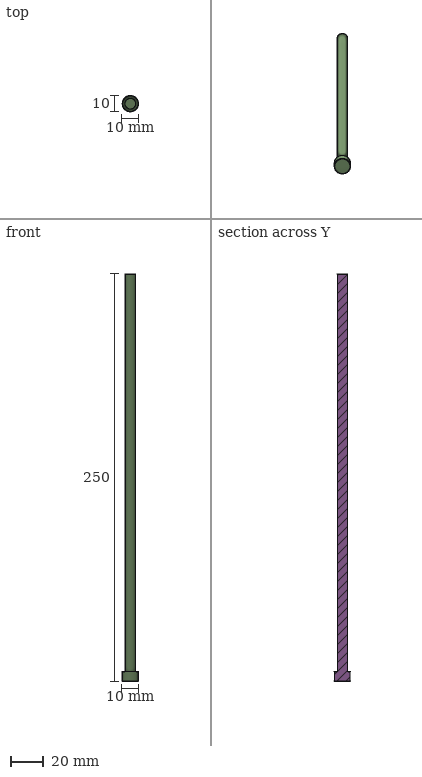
import cadquery as cq

overall_length = 250.0
head_diameter = 10.0
head_height = 6.0
shank_diameter = 6.5
neck_fillet = 0.3
head_rim_chamfer = 0.3

head_radius = head_diameter / 2
shank_radius = shank_diameter / 2


def make_blank():
    """Headed pin turned about the Z axis, with the underside of the head at Z = 0."""
    half_profile = (
        cq.Workplane("XZ")
        .moveTo(0, 0)
        .lineTo(-head_radius, 0)
        .lineTo(-head_radius, head_height)
        .lineTo(-shank_radius, head_height)
        .lineTo(-shank_radius, overall_length)
        .lineTo(0, overall_length)
        .close()
    )
    return half_profile.revolve(360, (0, 0, 0), (0, 1, 0))


def chamfer_head_rim(pin):
    """Chamfer the outer rim of the bottom face of the head."""
    return pin.faces("<Z").edges("%CIRCLE").chamfer(head_rim_chamfer)


def fillet_neck(pin):
    """Round the inside corner where the shank meets the head."""
    neck_edge = cq.selectors.BoxSelector(
        (-head_radius, -head_radius, head_height - neck_fillet),
        (head_radius, head_radius, head_height + neck_fillet),
    )
    return pin.edges(neck_edge).edges(cq.selectors.RadiusNthSelector(0)).fillet(neck_fillet)


result = fillet_neck(chamfer_head_rim(make_blank()))